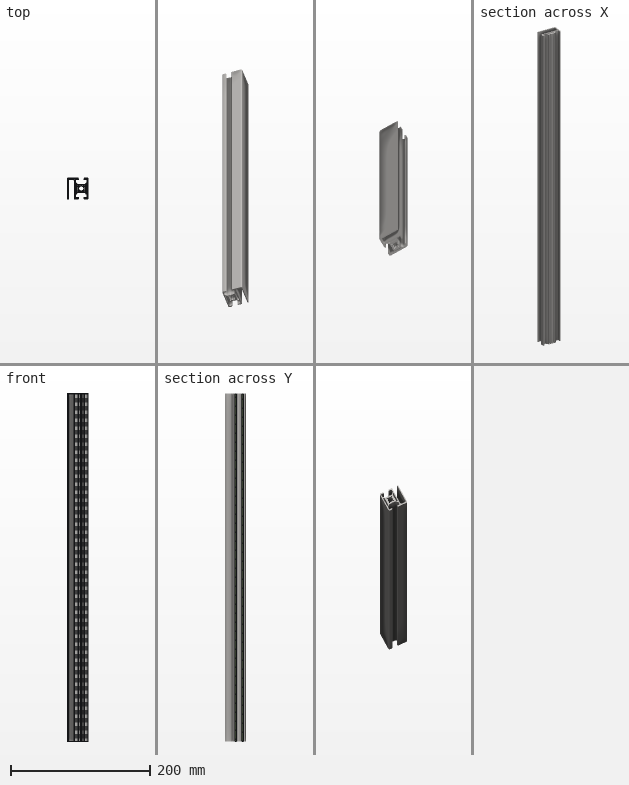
import cadquery as cq

length = 500.0
width = 30.0
depth = 30.0
outer_radius = 2.0

body_width = 20.0
wall = 1.5
lip_thickness = 2.0
lip_chamfer = 1.0
slot_opening = 8.0
slot_depth = 9.0
floor_chamfer = 3.0
mark_groove_width = 1.5

bore_diameter = 7.5
groove_width = 1.5
groove_span = 11.0
cavity_gap = 2.0
web_drop = 1.5

cover_wall = 1.5
bridge_radius = 1.25

body_center = width / 2 - body_width / 2
body_left = width / 2 - body_width


def block(x_min, x_max, y_min, y_max):
    """Full-length rectangular bar between the given limits."""
    return (
        cq.Workplane("XY")
        .box(x_max - x_min, y_max - y_min, length, centered=False)
        .translate((x_min, y_min, -length / 2))
    )


def t_slot(side):
    """T-shaped slot cut from the +Y (side=1) or -Y (side=-1) face of the body."""
    half_opening = slot_opening / 2
    half_chamber = body_width / 2 - wall
    outer = depth / 2
    lip = outer - lip_thickness
    floor = outer - slot_depth
    points = [
        (half_opening + lip_chamfer, outer),
        (half_opening, outer - lip_chamfer),
        (half_opening, lip),
        (half_chamber, lip),
        (half_chamber, floor + floor_chamfer),
        (half_chamber - floor_chamfer, floor),
        (mark_groove_width / 2, floor),
    ]
    mirrored = [(-x, y) for x, y in reversed(points)]
    outline = points + [(0, floor - mark_groove_width / 2)] + mirrored
    placed = [(body_center + x, side * y) for x, y in outline]
    return cq.Workplane("XY").polyline(placed).close().extrude(length / 2, both=True)


def side_cavity(side):
    """Closed channel between the core and the outer wall, sloped to follow the slot floor corners."""
    outer_x = body_width / 2 - wall
    inner_x = outer_x - cavity_gap
    high = depth / 2 - slot_depth + floor_chamfer - web_drop
    low = high - cavity_gap
    outline = [(outer_x, high), (inner_x, low), (inner_x, -low), (outer_x, -high)]
    placed = [(body_center + side * x, y) for x, y in outline]
    return cq.Workplane("XY").polyline(placed).close().extrude(length / 2, both=True)


def screw_bore():
    """Round bore with four diagonal grooves."""
    bore = cq.Workplane("XY").circle(bore_diameter / 2).extrude(length / 2, both=True)
    for angle in (45, 135):
        groove = cq.Workplane("XY").box(groove_span, groove_width, length)
        bore = bore.union(groove.rotate((0, 0, 0), (0, 0, 1), angle))
    return bore.translate((body_center, 0, 0))


pocket = block(-width / 2 + cover_wall, body_left, -depth / 2, depth / 2 - lip_thickness)
pocket = pocket.edges("|Z and >Y").fillet(bridge_radius)
result = block(-width / 2, width / 2, -depth / 2, depth / 2)
result = result.edges("|Z").edges(">X or >Y").fillet(outer_radius)
result = result.cut(pocket)

for side in (1, -1):
    result = result.cut(t_slot(side)).cut(side_cavity(side))
result = result.cut(screw_bore())